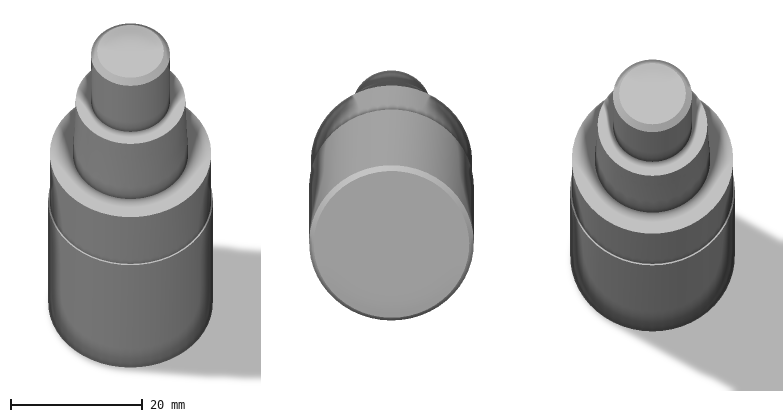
import cadquery as cq

total_height = 62.75
shank_height = 26.0
collar_top = 37.5
taper_top = 50.6

shank_diameter = 25.0
collar_diameter = 24.5
taper_base_diameter = 17.5
taper_top_diameter = 16.6
pin_diameter = 12.0

shank_chamfer = 0.7
pin_chamfer_width = 0.95
pin_chamfer_height = 0.8

pin_bottom = collar_top


def make_body():
    """Turned body: shank, collar and tapered seat, bored from the top for the pin."""
    shank_radius = shank_diameter / 2
    collar_radius = collar_diameter / 2
    profile = (
        cq.Workplane("XZ")
        .moveTo(0, 0)
        .lineTo(shank_radius - shank_chamfer, 0)
        .lineTo(shank_radius, shank_chamfer)
        .lineTo(shank_radius, shank_height)
        .lineTo(collar_radius, shank_height)
        .lineTo(collar_radius, collar_top)
        .lineTo(taper_base_diameter / 2, collar_top)
        .lineTo(taper_top_diameter / 2, taper_top)
        .lineTo(0, taper_top)
        .close()
    )
    pin_seat = (
        cq.Workplane("XY")
        .workplane(offset=pin_bottom)
        .circle(pin_diameter / 2)
        .extrude(taper_top - pin_bottom)
    )
    return profile.revolve(360, (0, 0, 0), (0, 1, 0)).cut(pin_seat)


def make_pin():
    """Straight pin seated in the body, chamfered at its exposed end."""
    pin_radius = pin_diameter / 2
    profile = (
        cq.Workplane("XZ")
        .moveTo(0, pin_bottom)
        .lineTo(pin_radius, pin_bottom)
        .lineTo(pin_radius, total_height - pin_chamfer_height)
        .lineTo(pin_radius - pin_chamfer_width, total_height)
        .lineTo(0, total_height)
        .close()
    )
    return profile.revolve(360, (0, 0, 0), (0, 1, 0))


body = make_body()
pin = make_pin()
result = cq.Compound.makeCompound([body.val(), pin.val()])